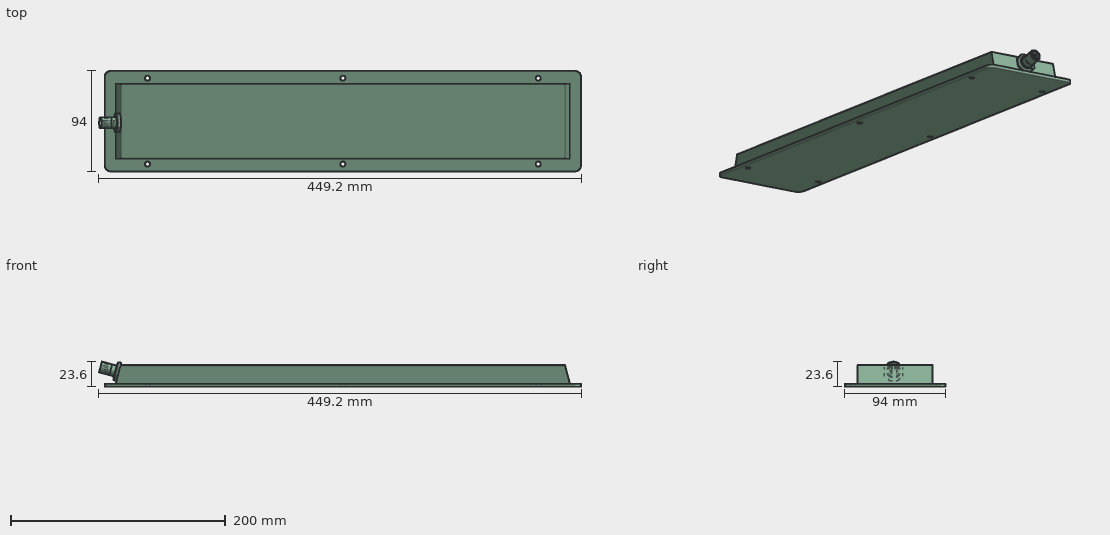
import cadquery as cq
import math

plate_length = 444.0
plate_width = 94.0
plate_thickness = 3.0
plate_corner_radius = 6.0
plate_edge_radius = 0.5

hole_diameter = 4.5
hole_pitch_x = 182.0
hole_row_y = 40.0
holes_per_row = 3

housing_length = 423.2
housing_width = 70.0
housing_height = 17.5
housing_edge_radius = 0.8
end_lean = 15.0

connector_y = -1.6
connector_height = 11.33
nut_across_flats = 17.6
nut_thickness = 3.0
nut_sides = 8
nut_edge_radius = 0.5
collar_diameter = 12.8
collar_thickness = 3.5
barrel_diameter = 10.5
barrel_length = 17.8
socket_diameter = 8.5
socket_depth = 10.0
pin_diameter = 1.5
pin_count = 4
pin_start_angle = 45.0
pin_circle_diameter = 5.0
pin_length = 8.0


def make_plate():
    plate = cq.Workplane("XY").box(
        plate_length, plate_width, plate_thickness, centered=(True, True, False)
    )
    plate = plate.edges("|Z").fillet(plate_corner_radius)
    plate = plate.faces("<Z or >Z").edges().fillet(plate_edge_radius)
    return (
        plate.faces(">Z")
        .workplane(origin=(0, 0, plate_thickness))
        .rarray(hole_pitch_x, 2 * hole_row_y, holes_per_row, 2)
        .hole(hole_diameter)
    )


def make_housing():
    half_bottom = housing_length / 2
    half_top = half_bottom - housing_height * math.tan(math.radians(end_lean))
    top_z = plate_thickness + housing_height
    return (
        cq.Workplane("XZ")
        .polyline(
            [
                (-half_bottom, plate_thickness),
                (half_bottom, plate_thickness),
                (half_top, top_z),
                (-half_top, top_z),
            ]
        )
        .close()
        .extrude(housing_width / 2, both=True)
        .faces(">Z")
        .edges()
        .fillet(housing_edge_radius)
    )


def end_face_plane(distance=0.0):
    """Plane parallel to the leaning -X end, a distance out from it, centred on the connector."""
    lean = math.radians(end_lean)
    outward = (-math.cos(lean), 0, math.sin(lean))
    origin = (
        -housing_length / 2 + connector_height * math.sin(lean) + distance * outward[0],
        connector_y,
        plate_thickness + connector_height * math.cos(lean) + distance * outward[2],
    )
    return cq.Workplane(cq.Plane(origin=origin, xDir=(0, 1, 0), normal=outward))


def make_connector():
    half_facet = math.pi / nut_sides
    nut = (
        end_face_plane()
        .transformed(rotate=(0, 0, math.degrees(half_facet)))
        .polygon(nut_sides, nut_across_flats / math.cos(half_facet))
        .extrude(nut_thickness)
        .edges()
        .fillet(nut_edge_radius)
    )
    collar = end_face_plane().circle(collar_diameter / 2).extrude(collar_thickness)
    barrel = end_face_plane().circle(barrel_diameter / 2).extrude(barrel_length)
    socket_floor = barrel_length - socket_depth
    socket = end_face_plane(socket_floor).circle(socket_diameter / 2).extrude(socket_depth)
    pins = (
        end_face_plane(socket_floor)
        .polarArray(pin_circle_diameter / 2, pin_start_angle, 360, pin_count)
        .circle(pin_diameter / 2)
        .extrude(pin_length)
    )
    return nut.union(collar).union(barrel).cut(socket).union(pins)


result = make_plate().union(make_housing()).union(make_connector())